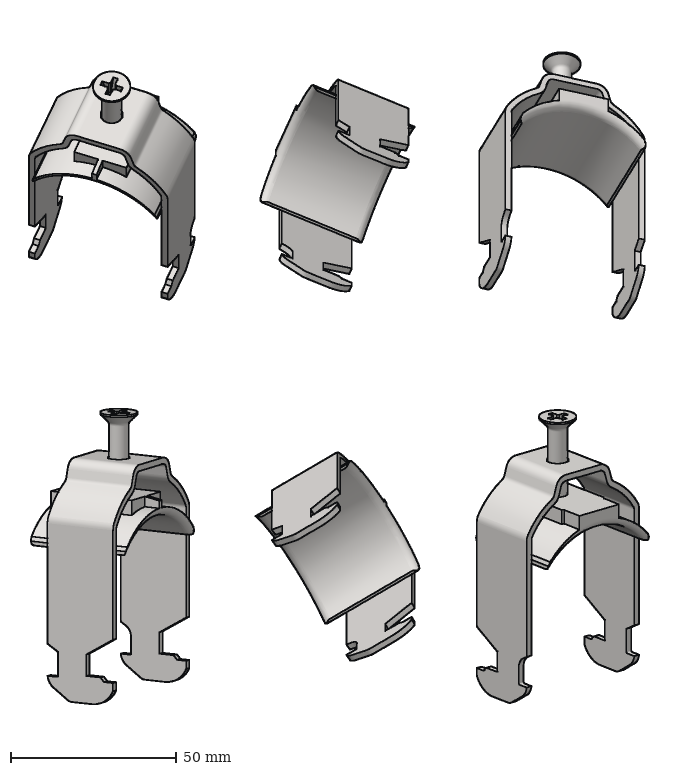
import cadquery as cq
import math

SHEET = 2.0
STRAP_WIDTH = 23.1
STRAP_SPAN = 45.0
STRAP_HALF_SPAN = STRAP_SPAN / 2
CROWN_TOP = 72.0
CROWN_FLAT_HALF = 6.9
NECK_ANGLE = 73.3
SHOULDER_RADIUS = 25.7
SHOULDER_CENTRE_Z = 42.8
INNER_BEND = 2.0
OUTER_BEND = INNER_BEND + SHEET
SCREW_CLEARANCE = 6.7

EDGE_Y = STRAP_WIDTH / 2
NECK_BACK_Y = 7.9
NECK_FRONT_Y = -2.15
BARB_Z = 7.2
SHELF_Z = 8.5
SHELF_END_Y = -7.1
NOTCH_TOP_ANGLE = 30.0
BACK_NOTCH_TOP_Z = 17.1
FRONT_NOTCH_TOP_Z = 20.55
TOE_RADIUS = 8.25
TOE_END_Z = 4.7
HEEL_START_Y = 3.8
HEEL_ANGLE = 34.0
HEEL_ARC_Y = 9.0
HEEL_TIP_RADIUS = 5.0
HEEL_FOOT_RADIUS = 2.6
BACK_NOTCH_ROUND = 0.5
RIGHT_NOTCH_ROUND = 3.95

SADDLE_BACK_Y = 19.1
SADDLE_FRONT_Y = -14.9
SADDLE_TOP = 57.9
SADDLE_DEPTH = 2.6
SADDLE_HALF_WIDTH = 20.1
SADDLE_TIP_Z = 46.35
LIP_TOP_Z = 47.65
LIP_WIDTH = 0.9
SHOULDER_Z = 48.9
SHOULDER_HALF_WIDTH = 19.5
HOLLOW_HALF_WIDTH = SADDLE_HALF_WIDTH - LIP_WIDTH
HOLLOW_TOP = SADDLE_TOP - SADDLE_DEPTH
MOUTH_RADIUS = 2.5
TIP_CORNER_RADIUS = 1.55

BLOCK_TOP = 61.1
BLOCK_BASE = 55.9
BLOCK_WIDTH = 16.9
BLOCK_HALF_WIDTH = BLOCK_WIDTH / 2
BLOCK_TAIL_HALF_WIDTH = 7.9
BLOCK_TAIL_Y = 12.0
BLOCK_FRONT_Y = -9.7
RIB_WIDTH = 1.5
RIB_END_TOP = 60.2

SCREW_Y = -0.13
SCREW_TOP = 86.0
HEAD_RADIUS = 5.7
HEAD_RIM = 0.6
CONE_END_RADIUS = 3.4
SHANK_RADIUS = 3.0
UNDERHEAD_HEIGHT = 1.0
RECESS_HALF_LENGTH = 3.35
RECESS_FLOOR_HALF_LENGTH = 1.6
RECESS_ARM_WIDTH = 1.5
RECESS_DEPTH = 4.65
RECESS_CORE_RADIUS = 1.4
RECESS_CONE_DEPTH = 0.5


def strap_block(inset):
    """Solid under the strap's outer face moved inwards by `inset`."""
    half_span = STRAP_HALF_SPAN - inset
    top = CROWN_TOP - inset
    radius = SHOULDER_RADIUS - inset
    neck = math.radians(NECK_ANGLE)
    crown_corner = CROWN_FLAT_HALF + (OUTER_BEND - inset) * math.tan(neck / 2)

    rise = top - SHOULDER_CENTRE_Z
    along = crown_corner * math.cos(neck) - rise * math.sin(neck)
    distance = -along - math.sqrt(along**2 - crown_corner**2 - rise**2 + radius**2)
    notch_x = crown_corner + distance * math.cos(neck)
    notch_z = top - distance * math.sin(neck)

    leg_z = SHOULDER_CENTRE_Z + math.sqrt(radius**2 - half_span**2)
    middle = (math.atan2(leg_z - SHOULDER_CENTRE_Z, half_span)
              + math.atan2(notch_z - SHOULDER_CENTRE_Z, notch_x)) / 2
    middle_x = radius * math.cos(middle)
    middle_z = SHOULDER_CENTRE_Z + radius * math.sin(middle)
    solid = (
        cq.Workplane("XZ")
        .moveTo(-half_span, 0)
        .lineTo(-half_span, leg_z)
        .threePointArc((-middle_x, middle_z), (-notch_x, notch_z))
        .lineTo(-crown_corner, top)
        .lineTo(crown_corner, top)
        .lineTo(notch_x, notch_z)
        .threePointArc((middle_x, middle_z), (half_span, leg_z))
        .lineTo(half_span, 0)
        .close()
        .extrude(STRAP_WIDTH / 2, both=True)
    )
    bends = [
        (half_span, leg_z, OUTER_BEND - inset),
        (notch_x, notch_z, INNER_BEND + inset),
        (crown_corner, top, OUTER_BEND - inset),
    ]
    for x, z, bend in bends:
        for side in (-1, 1):
            solid = solid.edges(cq.NearestToPointSelector((side * x, 0, z))).fillet(bend)
    return solid


def leg_outline(x_start, x_end, notch_round):
    """Side outline of one leg, hook included, as a slab between two x positions."""
    notch_slope = math.tan(math.radians(NOTCH_TOP_ANGLE))
    heel_slope = math.tan(math.radians(HEEL_ANGLE))
    back_neck_top = BACK_NOTCH_TOP_Z - (EDGE_Y - NECK_BACK_Y) * notch_slope
    front_neck_top = FRONT_NOTCH_TOP_Z - (NECK_FRONT_Y + EDGE_Y) * notch_slope
    heel_arc_z = (HEEL_ARC_Y - HEEL_START_Y) * heel_slope
    toe_end_y = -EDGE_Y
    toe_start_y = toe_end_y + math.sqrt(TOE_RADIUS**2 - (TOE_RADIUS - TOE_END_Z) ** 2)
    slab = (
        cq.Workplane("YZ", origin=(x_start, 0, 0))
        .moveTo(toe_start_y, 0)
        .radiusArc((toe_end_y, TOE_END_Z), TOE_RADIUS)
        .lineTo(-EDGE_Y, BARB_Z)
        .lineTo(SHELF_END_Y - (SHELF_Z - BARB_Z), BARB_Z)
        .lineTo(SHELF_END_Y, SHELF_Z)
        .lineTo(NECK_FRONT_Y, SHELF_Z)
        .lineTo(NECK_FRONT_Y, front_neck_top)
        .lineTo(-EDGE_Y, FRONT_NOTCH_TOP_Z)
        .lineTo(-EDGE_Y, CROWN_TOP)
        .lineTo(EDGE_Y, CROWN_TOP)
        .lineTo(EDGE_Y, BACK_NOTCH_TOP_Z)
        .lineTo(NECK_BACK_Y, back_neck_top)
        .lineTo(NECK_BACK_Y, BARB_Z)
        .lineTo(EDGE_Y, BARB_Z)
        .radiusArc((HEEL_ARC_Y, heel_arc_z), HEEL_TIP_RADIUS)
        .lineTo(HEEL_START_Y, 0)
        .close()
        .extrude(x_end - x_start)
    )
    x_middle = (x_start + x_end) / 2
    rounds = [
        (NECK_BACK_Y, BARB_Z, BACK_NOTCH_ROUND),
        (HEEL_START_Y, 0, HEEL_FOOT_RADIUS),
        (NECK_BACK_Y, back_neck_top, notch_round),
    ]
    for y, z, radius in rounds:
        if radius > 0:
            slab = slab.edges(cq.NearestToPointSelector((x_middle, y, z))).fillet(radius)
    return slab


def make_strap():
    strip = strap_block(0).cut(strap_block(SHEET))
    left_half = leg_outline(-STRAP_HALF_SPAN, 0, 0)
    right_half = leg_outline(0, STRAP_HALF_SPAN, RIGHT_NOTCH_ROUND)
    strip = strip.intersect(left_half.union(right_half))
    hole = (
        cq.Workplane("XY", origin=(0, SCREW_Y, CROWN_TOP - 2 * SHEET))
        .circle(SCREW_CLEARANCE / 2)
        .extrude(3 * SHEET)
    )
    return strip.cut(hole)


def saddle_arch():
    """Curved plate running along y, its lower corners rounded as seen from the side."""
    plate = (
        cq.Workplane("XZ", origin=(0, SADDLE_BACK_Y, 0))
        .moveTo(-SHOULDER_HALF_WIDTH, SHOULDER_Z)
        .threePointArc((0, SADDLE_TOP), (SHOULDER_HALF_WIDTH, SHOULDER_Z))
        .lineTo(SADDLE_HALF_WIDTH, LIP_TOP_Z)
        .lineTo(SADDLE_HALF_WIDTH, SADDLE_TIP_Z)
        .lineTo(HOLLOW_HALF_WIDTH, SADDLE_TIP_Z)
        .threePointArc((0, HOLLOW_TOP), (-HOLLOW_HALF_WIDTH, SADDLE_TIP_Z))
        .lineTo(-SADDLE_HALF_WIDTH, SADDLE_TIP_Z)
        .lineTo(-SADDLE_HALF_WIDTH, LIP_TOP_Z)
        .close()
        .extrude(SADDLE_BACK_Y - SADDLE_FRONT_Y)
    )
    side_slab = (
        cq.Workplane("XY", origin=(0, (SADDLE_BACK_Y + SADDLE_FRONT_Y) / 2, SADDLE_TIP_Z))
        .box(2 * SADDLE_HALF_WIDTH, SADDLE_BACK_Y - SADDLE_FRONT_Y, SADDLE_TOP - SADDLE_TIP_Z,
             centered=(True, True, False))
        .edges("|X and <Z")
        .fillet(TIP_CORNER_RADIUS)
    )
    return plate.intersect(side_slab)


def mouth_round(end_y, inward):
    """Ring that rounds the hollow's rim at one end; `inward` is the y direction into the saddle."""
    sagitta = HOLLOW_TOP - SADDLE_TIP_Z
    hollow_radius = (HOLLOW_HALF_WIDTH**2 + sagitta**2) / (2 * sagitta)
    inner = hollow_radius - MOUTH_RADIUS
    tangent_y = inward * MOUTH_RADIUS
    mid_drop = MOUTH_RADIUS * (1 - math.sqrt(0.5))
    return (
        cq.Workplane("XY", origin=(0, end_y, HOLLOW_TOP - hollow_radius))
        .moveTo(inner, 0)
        .lineTo(hollow_radius + MOUTH_RADIUS, 0)
        .threePointArc((hollow_radius + mid_drop, inward * mid_drop), (hollow_radius, tangent_y))
        .lineTo(inner, tangent_y)
        .close()
        .revolve(360, (0, 0, 0), (0, 1, 0))
    )


def pressure_block():
    """Flat-topped block, slightly narrower towards the back."""
    taper_y = BLOCK_TAIL_Y - (BLOCK_HALF_WIDTH - BLOCK_TAIL_HALF_WIDTH)
    return (
        cq.Workplane("XY", origin=(0, 0, BLOCK_BASE))
        .moveTo(-BLOCK_HALF_WIDTH, BLOCK_FRONT_Y)
        .lineTo(BLOCK_HALF_WIDTH, BLOCK_FRONT_Y)
        .lineTo(BLOCK_HALF_WIDTH, taper_y)
        .lineTo(BLOCK_TAIL_HALF_WIDTH, BLOCK_TAIL_Y)
        .lineTo(BLOCK_TAIL_HALF_WIDTH, SADDLE_BACK_Y)
        .lineTo(-BLOCK_TAIL_HALF_WIDTH, SADDLE_BACK_Y)
        .lineTo(-BLOCK_TAIL_HALF_WIDTH, BLOCK_TAIL_Y)
        .lineTo(-BLOCK_HALF_WIDTH, taper_y)
        .close()
        .extrude(BLOCK_TOP - BLOCK_BASE)
    )


def ramped_rib():
    """Narrow rib falling from the block's top to the front end of the saddle."""
    return (
        cq.Workplane("YZ")
        .moveTo(BLOCK_FRONT_Y, BLOCK_BASE)
        .lineTo(BLOCK_FRONT_Y, BLOCK_TOP)
        .lineTo(SADDLE_FRONT_Y, RIB_END_TOP)
        .lineTo(SADDLE_FRONT_Y, BLOCK_BASE)
        .close()
        .extrude(RIB_WIDTH / 2, both=True)
    )


def make_saddle():
    saddle = saddle_arch().union(pressure_block()).union(ramped_rib())
    saddle = saddle.cut(mouth_round(SADDLE_FRONT_Y, 1))
    return saddle.cut(mouth_round(SADDLE_BACK_Y, -1))


def screw_blank():
    """Countersunk head and plain shank turned about the z axis."""
    cone_end_z = SCREW_TOP - HEAD_RIM - (HEAD_RADIUS - CONE_END_RADIUS)
    shank_top = cone_end_z - UNDERHEAD_HEIGHT
    return (
        cq.Workplane("XZ")
        .moveTo(0, BLOCK_TOP)
        .lineTo(SHANK_RADIUS, BLOCK_TOP)
        .lineTo(SHANK_RADIUS, shank_top)
        .tangentArcPoint((CONE_END_RADIUS, cone_end_z), relative=False)
        .lineTo(HEAD_RADIUS, SCREW_TOP - HEAD_RIM)
        .lineTo(HEAD_RADIUS, SCREW_TOP)
        .lineTo(0, SCREW_TOP)
        .close()
        .revolve(360, (0, 0, 0), (0, 1, 0))
    )


def cross_recess():
    """Cross-shaped driver recess with sloping arm ends."""
    arm = (
        cq.Workplane("XZ")
        .moveTo(-RECESS_HALF_LENGTH, SCREW_TOP)
        .lineTo(RECESS_HALF_LENGTH, SCREW_TOP)
        .lineTo(RECESS_FLOOR_HALF_LENGTH, SCREW_TOP - RECESS_DEPTH)
        .lineTo(-RECESS_FLOOR_HALF_LENGTH, SCREW_TOP - RECESS_DEPTH)
        .close()
        .extrude(RECESS_ARM_WIDTH / 2, both=True)
    )
    core = (
        cq.Workplane("XZ")
        .moveTo(0, SCREW_TOP)
        .lineTo(RECESS_CORE_RADIUS, SCREW_TOP)
        .lineTo(RECESS_CORE_RADIUS, SCREW_TOP - RECESS_DEPTH)
        .lineTo(0, SCREW_TOP - RECESS_DEPTH - RECESS_CONE_DEPTH)
        .close()
        .revolve(360, (0, 0, 0), (0, 1, 0))
    )
    cross_arm = arm.rotate((0, 0, 0), (0, 0, 1), 90)
    return arm.union(cross_arm).union(core)


def make_screw():
    return screw_blank().cut(cross_recess()).translate((0, SCREW_Y, 0))


strap = make_strap()
saddle = make_saddle()
screw = make_screw()
result = cq.Compound.makeCompound([strap.val(), saddle.val(), screw.val()])